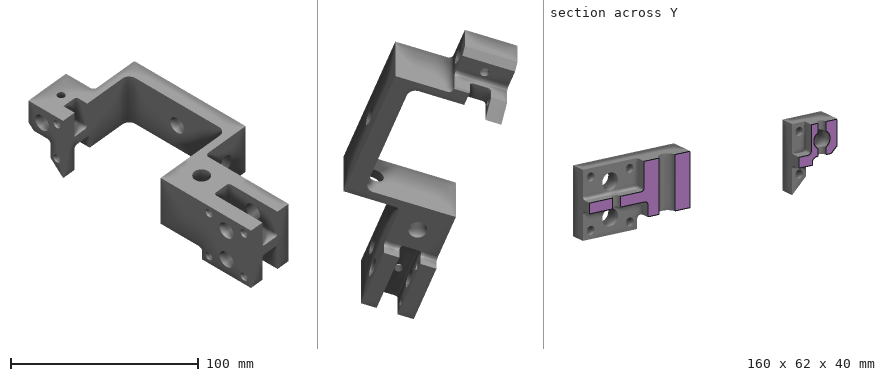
import cadquery as cq

length = 160.0
depth = 62.0
height = 40.0
block_depth = 30.0
bridge_left = 20.0
bridge_right = 100.0
side_wall = 5.0
back_wall = 10.0
bridge_bottom = 8.0
gap_left = bridge_left + side_wall
gap_right = bridge_right - side_wall
gap_corner_radius = 5.0
step_radius = 2.5

step_x = 16.0
step_z = 21.1
tip_height = gap_left - step_x
edge_chamfer = 3.8

foot_x = 125.0

front_wall = 9.1
slot_width = 12.0
notch_width = 10.0
slot_radius = 2.0
floor_radius = 1.8
web_bottom = 16.8
web_top = height - web_bottom
notch_x = 17.0

large_diameter = 10.0
small_diameter = 5.0
left_hole_x = 10.0
clamp_hole_z = 30.0
left_screw_x = 20.5
left_screw_low_z = 11.0
screw_edge_offset = 5.0
right_hole_x = 142.4
screw_spacing_x = 25.1
web_hole_y = 15.0
block_hole_x = 110.0
block_hole_y = 16.2
bridge_hole_z = (bridge_bottom + height) / 2
side_hole_y = (block_depth + depth) / 2


def box(x0, x1, y0, y1, z0, z1):
    """Box between two opposite corners."""
    return cq.Workplane("XY").box(x1 - x0, y1 - y0, z1 - z0, centered=False).translate((x0, y0, z0))


def hole_y(x, z, diameter, end_y):
    """Cylinder along Y from the front face to end_y."""
    return cq.Workplane("XZ").center(x, z).circle(diameter / 2).extrude(-end_y)


def hole_z(x, y, diameter):
    """Vertical cylinder through the full height."""
    return cq.Workplane("XY").center(x, y).circle(diameter / 2).extrude(height)


def bridge():
    """U-shaped frame joining the two end blocks."""
    outer = box(bridge_left, bridge_right, 0, depth, bridge_bottom, height)
    gap = box(gap_left, gap_right, 0, depth - back_wall, bridge_bottom, height)
    return outer.cut(gap.edges("|Z and >Y").fillet(gap_corner_radius))


def left_block():
    """Stepped block ending in a pointed lower tip."""
    profile = (
        cq.Workplane("XZ")
        .moveTo(0, height)
        .lineTo(0, step_z + edge_chamfer)
        .lineTo(edge_chamfer, step_z)
        .lineTo(step_x - step_radius, step_z)
        .radiusArc((step_x, step_z - step_radius), step_radius)
        .lineTo(step_x, tip_height)
        .lineTo(gap_left, 0)
        .lineTo(gap_left, height)
        .close()
    )
    block = profile.extrude(-block_depth)
    rear_relief = box(0, gap_left, front_wall + slot_width, block_depth, 0, bridge_bottom)
    return block.cut(rear_relief)


def right_block():
    """Rectangular block with a foot below its outer end."""
    profile = (
        cq.Workplane("XZ")
        .moveTo(gap_right, height)
        .lineTo(gap_right, bridge_bottom)
        .lineTo(foot_x - step_radius, bridge_bottom)
        .radiusArc((foot_x, bridge_bottom - step_radius), step_radius)
        .lineTo(foot_x, 0)
        .lineTo(length, 0)
        .lineTo(length, height)
        .close()
    )
    return profile.extrude(-block_depth)


def left_slots():
    """Notch above and slot below the web of the left block."""
    notch = box(notch_x, gap_left, front_wall, front_wall + notch_width, web_top, height)
    notch = notch.edges("(|Z and <X and >Y) or (<Z and >Y) or (<Z and <X)").fillet(slot_radius)
    lower = box(step_x, gap_left, front_wall, front_wall + slot_width, 0, web_bottom)
    return notch.union(lower.edges("|X and >Z").fillet(slot_radius))


def slot_to_end(start_x):
    """Upper slot from start_x to the open outer end, with rounded floor and inner corners."""
    slot = box(start_x, length, front_wall, front_wall + slot_width, web_top, height)
    slot = slot.edges("|Z and <X").fillet(slot_radius)
    return slot.faces("<Z").edges("not >X").fillet(floor_radius)


def right_slots():
    """Slots above and below the web; the lower one also clears the foot's inside radius."""
    lower = slot_to_end(foot_x - step_radius).mirror("XY", (0, 0, height / 2))
    return slot_to_end(foot_x).union(lower)


def step_fillets(body):
    """Round the inside corners where the bridge meets the rear of the blocks."""
    corners = cq.selectors.BoxSelector(
        (bridge_left - 1.6, block_depth - 1.6, 0), (bridge_right + 1.6, block_depth + 1.6, height)
    )
    return body.edges("|Z").edges(corners).fillet(step_radius)


result = step_fillets(bridge().union(left_block()).union(right_block()).clean())
result = result.cut(left_slots()).cut(right_slots())

for x, z in (
    (left_hole_x, clamp_hole_z),
    (right_hole_x, clamp_hole_z),
    (right_hole_x, height - clamp_hole_z),
    ((bridge_left + bridge_right) / 2, bridge_hole_z),
):
    result = result.cut(hole_y(x, z, large_diameter, depth))

right_screws = [
    (right_hole_x + side * screw_spacing_x / 2, z)
    for side in (-1, 1)
    for z in (screw_edge_offset, height - screw_edge_offset)
]
left_screws = [(left_screw_x, left_screw_low_z), (left_screw_x, height - screw_edge_offset)]
for x, z in left_screws + right_screws:
    result = result.cut(hole_y(x, z, small_diameter, front_wall + slot_radius))

result = result.cut(hole_z(left_hole_x, web_hole_y, small_diameter))
result = result.cut(hole_z(right_hole_x, web_hole_y, small_diameter))
result = result.cut(hole_z(block_hole_x, block_hole_y, large_diameter))

side_hole = (
    cq.Workplane("YZ", origin=(gap_right - gap_corner_radius, 0, 0))
    .center(side_hole_y, bridge_hole_z)
    .circle(large_diameter / 2)
    .extrude(side_wall + gap_corner_radius)
)
result = result.cut(side_hole)